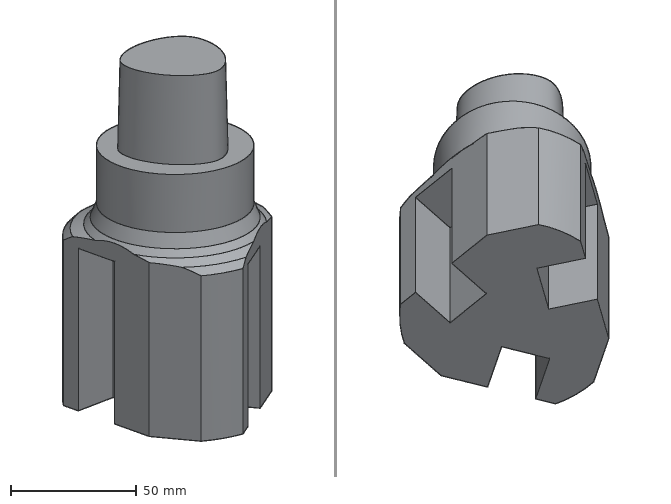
import cadquery as cq
import math

body_radius = 45.0
main_flat_distance = 35.0
relief_flat_distance = 40.0
main_flat_angle = 180.0
relief_flat_angle = 90.0
sides = 3
side_angles = [360.0 / sides * i for i in range(sides)]

shoulder_top = 71.3
shoulder_chamfer_top = 74.2
neck_flare_bottom = 76.1
neck_cone_bottom = 79.0
flange_bottom = 85.0
flange_top = 110.0
total_height = 148.0

flange_radius = 63.0 / 2
neck_cone_radius = 34.0
neck_flare_radius = 36.6
shoulder_chamfer_radius = 42.0

pocket_floor_distance = 15.0
pocket_width = 20.0
pocket_height = 70.0

shank_diameter = 44.15
shank_taper = 1.0 / 20
shank_lobe_height = 1.4
shank_lobe_angle = -90.0
shank_curve_points = 48


def make_revolved_blank():
    """Round bar with the shoulder, neck and flange turned on it."""
    outline = (
        cq.Workplane("XZ")
        .moveTo(0, 0)
        .lineTo(body_radius, 0)
        .lineTo(body_radius, shoulder_top)
        .lineTo(shoulder_chamfer_radius, shoulder_chamfer_top)
        .lineTo(neck_flare_radius, neck_flare_bottom)
        .lineTo(neck_cone_radius, neck_cone_bottom)
        .lineTo(flange_radius, flange_bottom)
        .lineTo(flange_radius, flange_top)
        .lineTo(0, flange_top)
        .close()
    )
    return outline.revolve(360, (0, 0, 0), (0, 1, 0))


def flat_cutter(distance, angle):
    """Block that leaves a flat at the given distance and direction."""
    size = 2 * body_radius
    block = cq.Workplane("XY").box(size, size, total_height, centered=(False, True, False))
    return block.translate((distance, 0, 0)).rotate((0, 0, 0), (0, 0, 1), angle)


def pocket_cutter(angle):
    """Pocket open at the flat and the bottom; one wall lies on the axis plane."""
    depth = body_radius - pocket_floor_distance
    block = cq.Workplane("XY").box(depth, pocket_width, pocket_height, centered=False)
    block = block.translate((pocket_floor_distance, -pocket_width, 0))
    return block.rotate((0, 0, 0), (0, 0, 1), angle)


def shank_section(diameter, height):
    """Closed wire of constant width; its tangent distance is radius + lobe * cos(sides * turn)."""
    lobe_direction = math.radians(shank_lobe_angle)
    points = []
    for i in range(shank_curve_points):
        turn = 2 * math.pi * i / shank_curve_points
        direction = lobe_direction + turn
        reach = diameter / 2 + shank_lobe_height * math.cos(sides * turn)
        slide = -sides * shank_lobe_height * math.sin(sides * turn)
        x = reach * math.cos(direction) - slide * math.sin(direction)
        y = reach * math.sin(direction) + slide * math.cos(direction)
        points.append(cq.Vector(x, y, height))
    return cq.Wire.assembleEdges([cq.Edge.makeSpline(points, periodic=True)])


def make_shank():
    """Tapered three-lobed shank standing on the flange."""
    top_diameter = shank_diameter - shank_taper * (total_height - flange_top)
    bottom = shank_section(shank_diameter, flange_top)
    top = shank_section(top_diameter, total_height)
    return cq.Workplane(cq.Solid.makeLoft([bottom, top], True))


result = make_revolved_blank()
for step_angle in side_angles:
    result = result.cut(flat_cutter(main_flat_distance, main_flat_angle + step_angle))
    result = result.cut(flat_cutter(relief_flat_distance, relief_flat_angle + step_angle))
    result = result.cut(pocket_cutter(main_flat_angle + step_angle))
result = result.union(make_shank())